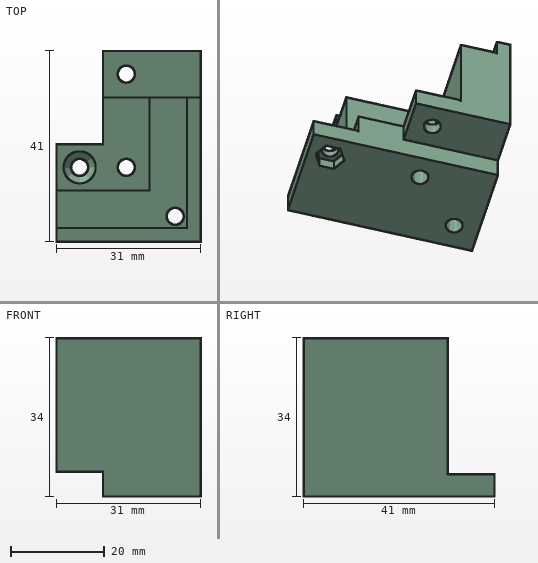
import cadquery as cq
import math

length_x = 31.0
length_y = 41.0
height = 34.0

step = 10.0
corner_y = length_y - step
pad_y = corner_y - step

pad_bottom = 5.3
flange_top = 4.8
floor_top = 10.0
ledge_top = 30.0

wall_thickness = 11.0
lip_thickness = 3.0

hole_diameter = 3.6
countersink_diameter = 6.9
countersink_angle = 90.0
pad_hole_x = step / 2
center_hole_x = 1.5 * step
pad_hole_y = (wall_thickness + pad_y) / 2
flange_hole_y = length_y - step / 2
corner_hole_inset = 5.5

nut_across_flats = 5.5
nut_recess_depth = 2.7


def block(x_range, y_range, z_range):
    """Axis-aligned box between the given limits."""
    (x0, x1), (y0, y1), (z0, z1) = x_range, y_range, z_range
    return cq.Workplane("XY").box(x1 - x0, y1 - y0, z1 - z0, centered=False).translate((x0, y0, z0))


def corner_wall(thickness, bottom, top):
    """L-shaped wall along the -Y and +X sides."""
    along_x = block((0, length_x), (0, thickness), (bottom, top))
    along_y = block((length_x - thickness, length_x), (0, corner_y), (bottom, top))
    return along_x.union(along_y)


base = block((step, length_x), (0, corner_y), (0, floor_top))
pad = block((0, step), (0, pad_y), (pad_bottom, floor_top))
flange = block((step, length_x), (corner_y, length_y), (0, flange_top))
body = base.union(pad).union(flange)

body = body.union(corner_wall(wall_thickness, floor_top, ledge_top))
body = body.union(corner_wall(lip_thickness, ledge_top, height))

plain_holes = [
    (center_hole_x, pad_hole_y),
    (center_hole_x, flange_hole_y),
    (length_x - corner_hole_inset, corner_hole_inset),
]
drills = cq.Workplane("XY").pushPoints(plain_holes).circle(hole_diameter / 2).extrude(height)
body = body.cut(drills)

nut_recess = (
    cq.Workplane("XY")
    .polygon(6, nut_across_flats / math.cos(math.pi / 6))
    .extrude(nut_recess_depth)
    .rotate((0, 0, 0), (0, 0, 1), 30)
    .translate((center_hole_x, flange_hole_y, 0))
)
body = body.cut(nut_recess)

result = (
    body.clean()
    .copyWorkplane(cq.Workplane("XY", origin=(0, 0, floor_top)))
    .pushPoints([(pad_hole_x, pad_hole_y)])
    .cskHole(hole_diameter, countersink_diameter, countersink_angle)
)